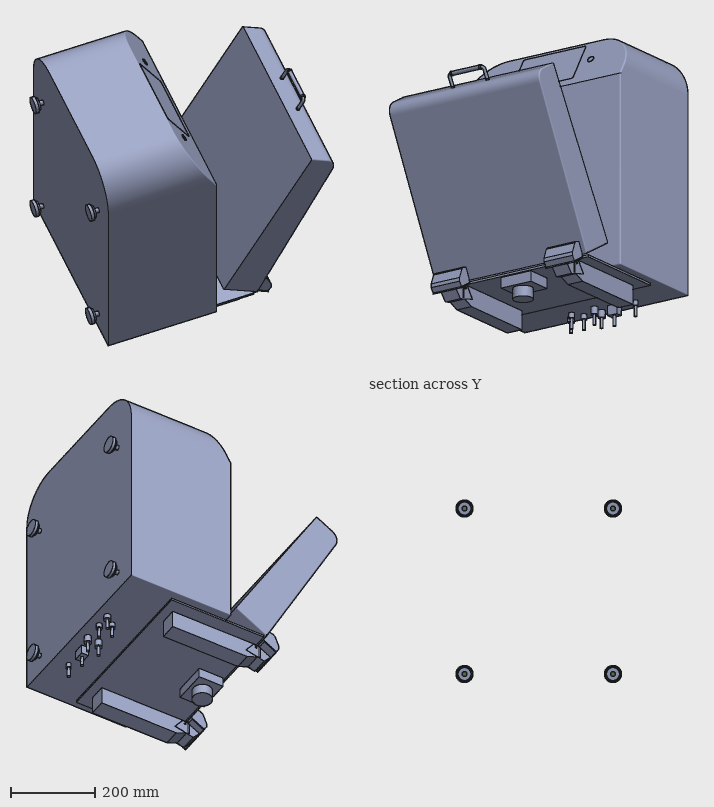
import cadquery as cq
import math


HOUSING_WIDTH = 476.0
HOUSING_DEPTH = 278.5
HOUSING_HEIGHT = 605.0
CORNER_RADIUS = 101.5
PANEL_RISE = 123.0
PANEL_LEAN = 30
PANEL_RUN = PANEL_RISE * math.tan(math.radians(PANEL_LEAN))
BACK_EDGE_RADIUS = 3.0
BASE_EDGE_RADIUS = 2.0
TOLERANCE = 0.05

PANEL_CENTER_SHIFT = 6.5
DISPLAY_WIDTH = 182.0
DISPLAY_LENGTH = 111.5
DISPLAY_RADIUS = 5.0
DISPLAY_DEPTH = 0.5
BUTTON_SPACING = 248.0
BUTTON_RADIUS = 8.5
BUTTON_HEIGHT = 1.0

FOOT_SPACING = 353.0
FOOT_HEIGHTS = (54.0, 447.0)
STEM_RADIUS = 6.0
STEM_LENGTH = 12.0
FOOT_TOP_RADIUS = 15.0
FOOT_SHOULDER_RADIUS = 18.0
FOOT_PAD_RADIUS = 20.5
FOOT_PAD_THICKNESS = 8.5
FOOT_LENGTH = 26.0

PLUGS = [
    (-114.0, 41.0, 6.0, 12.5, 39.0),
    (-6.5, 28.5, 8.5, 18.5, 44.5),
    (-6.5, 58.5, 8.5, 18.5, 44.5),
    (45.0, 28.5, 7.0, 12.5, 39.0),
    (63.0, 54.0, 7.0, 12.5, 39.0),
    (82.0, 28.5, 8.5, 12.5, 39.0),
]
CABLE_RADIUS = 3.65
SOCKET_X = -52.5
SOCKET_Y = 40.5
SOCKET_WIDTH = 27.0
SOCKET_DEPTH = 18.5
SOCKET_LENGTH = 25.0
SOCKET_CABLE_END = 51.0

PLATE_WIDTH = 433.5
PLATE_START = 125.0
PLATE_END = 382.0
PLATE_THICKNESS = 5.0
BLOCK_X = -3.0
BLOCK_WIDTH = 87.0
BLOCK_DEPTH = 66
BLOCK_BOTTOM = -32.0
POST_Y = 343.5
POST_RADIUS = 24.5
POST_BOTTOM = -58.5

LID_WIDTH = 438.0
LID_PIVOT_Y = 390.0
LID_PIVOT_Z = 0.5
LID_TILT = 30
LID_LENGTH = 450.0
LID_LOWER_DEPTH = 99.5
LID_UPPER_DEPTH = 77.0
LID_CORNER_RADIUS = 29.0
LID_EDGE_RADIUS = 3.0

HANDLE_SPACING = 101.0
HANDLE_HEIGHT = 34.0
HANDLE_INSET = 36.5
HANDLE_ROD_RADIUS = 4.0
HANDLE_BEND_RADIUS = 8.0
GRIP_LENGTH = 87.5
GRIP_RADIUS = 5.0
GRIP_RING_RADIUS = 6.0
GRIP_RING_LENGTH = 4.5
COLLAR_RADIUS = 4.3
COLLAR_HEIGHT = 3.0

HINGE_SPACING = 323.0
ARM_WIDTH = 42.5
ARM_START = 149.0
ARM_END = 389.0
ARM_BOTTOM = -53
ARM_TAPER_START = 357.0
ARM_NOSE_BOTTOM = -40
CAP_WIDTH = 45.0
CAP_THICKNESS = 4.0
KNUCKLE_WIDTH = 44.0
KNUCKLE_OUTLINE = [(422.0, -26.0), (404.0, -46.5), (353.5, -34.0), (374.0, -6.5), (391, -6.5)]
LEAF_OUTLINE = [
    (423.0, -24.5),
    (431, -13),
    (431, -4.0),
    (421.0, 21.0),
    (415.0, 26.5),
    (405.0, 29.0),
    (388.0, 26.5),
    (390.0, -5.0),
]
LEAF_WIDTH = 83.0
LEAF_PLATE_WIDTH = 84.0
LEAF_PLATE_THICKNESS = 3.0
LEAF_SHIFT = 2.5
PIVOT_Y = 381.0
PIVOT_Z = -13
PIVOT_RADIUS = 2.3


def bar(outline, width, center_x=0):
    """Prism along X with a (y, z) outline."""
    prism = cq.Workplane("YZ").polyline(outline).close().extrude(width / 2, both=True)
    return prism.translate((center_x, 0, 0))


def rod_down(x, y, radius, length):
    """Vertical cylinder that hangs from z = 0."""
    return cq.Workplane("XY").center(x, y).circle(radius).extrude(-length)


def round_back(block):
    """Round the outer edges of the back face and of the control panel, above the base."""
    panel = panel_plane()

    def is_outer(edge):
        middle = edge.positionAt(0.5)
        on_panel = abs(panel.toLocalCoords(middle).z) < TOLERANCE
        on_back = abs(middle.y - HOUSING_DEPTH) < TOLERANCE
        return on_panel != on_back and middle.z > BASE_EDGE_RADIUS

    return block.edges().filter(is_outer).fillet(BACK_EDGE_RADIUS)


def make_shell():
    """Housing block with round upper corners and a sloped control panel."""
    block = cq.Workplane("XY").box(
        HOUSING_WIDTH, HOUSING_DEPTH, HOUSING_HEIGHT, centered=(True, False, False)
    )
    block = block.edges("|Y and >Z").fillet(CORNER_RADIUS)
    slope = [
        (HOUSING_DEPTH, HOUSING_HEIGHT - PANEL_RISE),
        (HOUSING_DEPTH, HOUSING_HEIGHT),
        (HOUSING_DEPTH - PANEL_RUN, HOUSING_HEIGHT),
    ]
    block = block.cut(bar(slope, HOUSING_WIDTH))
    block = block.edges("|Y and <Z").fillet(BASE_EDGE_RADIUS)
    return round_back(block)


def panel_plane():
    """Plane in the middle of the control panel, facing outward, its y axis up the slope."""
    middle = (0, HOUSING_DEPTH - PANEL_RUN / 2, HOUSING_HEIGHT - PANEL_RISE / 2)
    return cq.Plane(origin=middle, xDir=(-1, 0, 0), normal=(0, PANEL_RISE, PANEL_RUN))


def make_display_recess():
    """Shallow rectangular pocket with rounded corners."""
    plane = cq.Workplane(panel_plane()).center(0, PANEL_CENTER_SHIFT)
    recess = plane.rect(DISPLAY_WIDTH, DISPLAY_LENGTH).extrude(-DISPLAY_DEPTH)
    corners = cq.selectors.ParallelDirSelector(panel_plane().zDir)
    return recess.edges(corners).fillet(DISPLAY_RADIUS)


def make_buttons():
    """Two low round buttons, one on each side of the display."""
    places = [(side * BUTTON_SPACING / 2, PANEL_CENTER_SHIFT) for side in (-1, 1)]
    plane = cq.Workplane(panel_plane()).pushPoints(places)
    return plane.circle(BUTTON_RADIUS).extrude(BUTTON_HEIGHT)


def make_foot(x, z):
    """Levelling foot turned about Y: a stem, a tapered shoulder and a round pad."""
    pad_start = FOOT_LENGTH - FOOT_PAD_THICKNESS
    profile = [
        (0, 0),
        (STEM_RADIUS, 0),
        (STEM_RADIUS, -STEM_LENGTH),
        (FOOT_TOP_RADIUS, -STEM_LENGTH),
        (FOOT_SHOULDER_RADIUS, -pad_start),
        (FOOT_PAD_RADIUS, -pad_start),
        (FOOT_PAD_RADIUS, -FOOT_LENGTH),
        (0, -FOOT_LENGTH),
    ]
    foot = cq.Workplane("XY").polyline(profile).close().revolve(360, (0, 0, 0), (0, 1, 0))
    return foot.translate((x, 0, z))


def make_plug(x, y, radius, body_length, overall_length):
    """Round plug with its cable end below it."""
    body = rod_down(x, y, radius, body_length)
    return body.union(rod_down(x, y, CABLE_RADIUS, overall_length))


def make_socket():
    """Rectangular connector with its cable end below it."""
    block = cq.Workplane("XY").center(SOCKET_X, SOCKET_Y)
    block = block.rect(SOCKET_WIDTH, SOCKET_DEPTH).extrude(-SOCKET_LENGTH)
    return block.union(rod_down(SOCKET_X, SOCKET_Y, CABLE_RADIUS, SOCKET_CABLE_END))


def make_housing():
    """Housing with its display, buttons, feet and connectors."""
    housing = make_shell().cut(make_display_recess()).union(make_buttons())
    for side in (-1, 1):
        for z in FOOT_HEIGHTS:
            housing = housing.union(make_foot(side * FOOT_SPACING / 2, z))
    for plug in PLUGS:
        housing = housing.union(make_plug(*plug))
    return housing.union(make_socket())


def make_base_plate():
    """Plate under the housing, with a block and a round post at its middle."""
    plate = cq.Workplane("XY").box(
        PLATE_WIDTH, PLATE_END - PLATE_START, PLATE_THICKNESS, centered=(True, False, False)
    )
    plate = plate.translate((0, PLATE_START, -PLATE_THICKNESS))
    block = cq.Workplane("XY").center(BLOCK_X, POST_Y)
    block = block.rect(BLOCK_WIDTH, BLOCK_DEPTH).extrude(BLOCK_BOTTOM)
    return plate.union(block).union(rod_down(0, POST_Y, POST_RADIUS, -POST_BOTTOM))


def make_handle():
    """Bent rod with a thicker grip, standing on the z = 0 plane along X."""
    half = HANDLE_SPACING / 2
    bend = HANDLE_BEND_RADIUS
    dip = bend * (1 - math.sqrt(0.5))
    shoulder = HANDLE_HEIGHT - bend
    path = (
        cq.Workplane("XZ")
        .moveTo(-half, 0)
        .lineTo(-half, shoulder)
        .threePointArc((dip - half, HANDLE_HEIGHT - dip), (bend - half, HANDLE_HEIGHT))
        .lineTo(half - bend, HANDLE_HEIGHT)
        .threePointArc((half - dip, HANDLE_HEIGHT - dip), (half, shoulder))
        .lineTo(half, 0)
    )
    rod = cq.Workplane("XY").center(-half, 0).circle(HANDLE_ROD_RADIUS).sweep(path)
    grip = cq.Workplane("YZ").center(0, HANDLE_HEIGHT).circle(GRIP_RADIUS)
    grip = grip.extrude(GRIP_LENGTH / 2, both=True)
    for end in (-1, 1):
        ring = cq.Workplane("YZ").center(0, HANDLE_HEIGHT).circle(GRIP_RING_RADIUS)
        ring = ring.extrude(-end * GRIP_RING_LENGTH)
        grip = grip.union(ring.translate((end * GRIP_LENGTH / 2, 0, 0)))
    collars = cq.Workplane("XY").pushPoints([(-half, 0), (half, 0)])
    collars = collars.circle(COLLAR_RADIUS).extrude(COLLAR_HEIGHT)
    return rod.union(grip).union(collars)


def make_lid():
    """Tapered lid with its handle, drawn upright on its outer lower edge and then leaned back."""
    outer_top = LID_UPPER_DEPTH - LID_LOWER_DEPTH
    outline = [(0, 0), (-LID_LOWER_DEPTH, 0), (-LID_LOWER_DEPTH, LID_LENGTH), (outer_top, LID_LENGTH)]
    lid = bar(outline, LID_WIDTH)
    lid = lid.edges(">Z").edges("|X").edges(">Y").fillet(LID_CORNER_RADIUS)
    side_edges = lid.faces("<X or >X").edges()
    outer_edges = side_edges.filter(lambda edge: edge.Center().y > TOLERANCE - LID_LOWER_DEPTH)
    lid = outer_edges.fillet(LID_EDGE_RADIUS)
    handle = make_handle().translate((0, HANDLE_INSET - LID_LOWER_DEPTH, LID_LENGTH))
    lid = lid.union(handle).rotate((0, 0, 0), (1, 0, 0), -LID_TILT)
    return lid.translate((0, LID_PIVOT_Y, LID_PIVOT_Z))


def make_hinge(side, lid):
    """Hinge on one side (-1 or 1): an arm under the base plate and a leaf on the lid."""
    x = side * HINGE_SPACING / 2
    leaf_x = x + side * LEAF_SHIFT
    arm_outline = [
        (ARM_START, -PLATE_THICKNESS),
        (ARM_END, -PLATE_THICKNESS),
        (ARM_END, ARM_NOSE_BOTTOM),
        (ARM_TAPER_START, ARM_BOTTOM),
        (ARM_START, ARM_BOTTOM),
    ]
    cap_end = ARM_END + CAP_THICKNESS
    cap_outline = [
        (ARM_END, -PLATE_THICKNESS),
        (cap_end, -PLATE_THICKNESS),
        (cap_end, ARM_NOSE_BOTTOM),
        (ARM_END, ARM_NOSE_BOTTOM),
    ]
    plate_near = LEAF_OUTLINE[-1]
    plate_far = LEAF_OUTLINE[0]
    leaf_plate_outline = [
        plate_near,
        plate_far,
        (plate_far[0], plate_far[1] - LEAF_PLATE_THICKNESS),
        (plate_near[0], plate_near[1] - LEAF_PLATE_THICKNESS),
    ]
    hinge = bar(arm_outline, ARM_WIDTH, x)
    hinge = hinge.union(bar(cap_outline, CAP_WIDTH, x))
    hinge = hinge.union(bar(KNUCKLE_OUTLINE, KNUCKLE_WIDTH, x))
    hinge = hinge.union(bar(leaf_plate_outline, LEAF_PLATE_WIDTH, leaf_x))
    hinge = hinge.union(bar(LEAF_OUTLINE, LEAF_WIDTH, leaf_x))
    pivot = cq.Workplane("YZ").center(PIVOT_Y, PIVOT_Z).circle(PIVOT_RADIUS)
    pivot = pivot.extrude(HOUSING_WIDTH / 2, both=True)
    return hinge.cut(pivot).cut(lid)


housing = make_housing()
base_plate = make_base_plate()
lid = make_lid()
hinges = [make_hinge(side, lid) for side in (-1, 1)]

result = cq.Compound.makeCompound(
    [housing.val(), base_plate.val(), lid.val(), *[hinge.val() for hinge in hinges]]
)